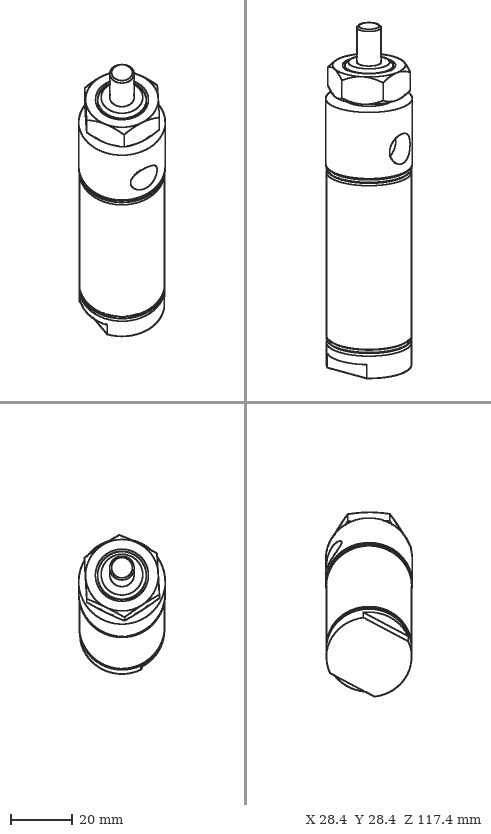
import cadquery as cq
import math

TOTAL_HEIGHT = 117.4

HEAD_RADIUS = 14.2
HEAD_BOTTOM = 69.2
HEAD_TOP = 92.2
TUBE_RADIUS = 14.0
TUBE_BOTTOM = 10.1
TUBE_TOP = 66.8
CAP_HEIGHT = 7.7

GROOVE_RADIUS = 13.3
RIDGE_RADIUS = TUBE_RADIUS
UPPER_RIDGE_HEIGHT = 68.0
LOWER_RIDGE_HEIGHT = 9.0
RIDGE_HALF_WIDTH = 0.6

BOSS_RADIUS = 8.0
BOSS_TOP = 104.8
BOSS_CHAMFER = 1.2

FLAT_SPACING = 22.3
FLAT_HEIGHT = 4.8

PORT_RADIUS = 5.2
PORT_HEIGHT = 77.9
PORT_DEPTH = 7.0

NUT_ACROSS_FLATS = 23.8
NUT_BOTTOM = 94.2
NUT_TOP = 103.7
NUT_CHAMFER_DROP = 1.6
NUT_COUNTERSINK = 0.7

ROD_RADIUS = 4.0
ROD_CHAMFER = 0.6
ROD_BOTTOM = HEAD_BOTTOM


def joint_ridge(height):
    """Profile points of two V-groove roots and the sharp ridge between them, from bottom to top."""
    return [
        (GROOVE_RADIUS, height - RIDGE_HALF_WIDTH),
        (RIDGE_RADIUS, height),
        (GROOVE_RADIUS, height + RIDGE_HALF_WIDTH),
    ]


def revolve_profile(points):
    """Revolve a closed (radius, height) outline about the Z axis."""
    return cq.Workplane("XZ").polyline(points).close().revolve(360, (0, 0, 0), (0, 1, 0))


def make_wrench_flats():
    """Material removed from the end cap to leave two flats facing -Y and +Y."""
    stock = 2 * HEAD_RADIUS
    blank = cq.Workplane("XY").box(stock, stock, FLAT_HEIGHT, centered=(True, True, False))
    web = cq.Workplane("XY").box(stock, FLAT_SPACING, FLAT_HEIGHT, centered=(True, True, False))
    return blank.cut(web)


def make_port():
    """Blind radial hole entering the head from +X."""
    return (
        cq.Workplane("YZ", origin=(HEAD_RADIUS - PORT_DEPTH, 0, PORT_HEIGHT))
        .circle(PORT_RADIUS)
        .extrude(PORT_DEPTH)
    )


def make_barrel():
    outline = [
        (0, 0),
        (TUBE_RADIUS, 0),
        (TUBE_RADIUS, CAP_HEIGHT),
        *joint_ridge(LOWER_RIDGE_HEIGHT),
        (TUBE_RADIUS, TUBE_BOTTOM),
        (TUBE_RADIUS, TUBE_TOP),
        *joint_ridge(UPPER_RIDGE_HEIGHT),
        (TUBE_RADIUS, HEAD_BOTTOM),
        (HEAD_RADIUS, HEAD_BOTTOM),
        (HEAD_RADIUS, HEAD_TOP),
        (BOSS_RADIUS, HEAD_TOP),
        (BOSS_RADIUS, BOSS_TOP - BOSS_CHAMFER),
        (BOSS_RADIUS - BOSS_CHAMFER, BOSS_TOP),
        (0, BOSS_TOP),
    ]
    rod_hole = (
        cq.Workplane("XY", origin=(0, 0, ROD_BOTTOM)).circle(ROD_RADIUS).extrude(BOSS_TOP - ROD_BOTTOM)
    )
    return revolve_profile(outline).cut(make_wrench_flats()).cut(make_port()).cut(rod_hole)


def make_nut():
    """Hexagon with corners on the Y axis, rounded off by cones at both faces."""
    corner_radius = NUT_ACROSS_FLATS / 2 / math.cos(math.pi / 6)
    face_radius = NUT_ACROSS_FLATS / 2
    hexagon = (
        cq.Workplane("XY", origin=(0, 0, NUT_BOTTOM))
        .polygon(6, 2 * corner_radius)
        .extrude(NUT_TOP - NUT_BOTTOM)
        .rotate((0, 0, 0), (0, 0, 1), 90)
    )
    turned_blank = revolve_profile([
        (BOSS_RADIUS + NUT_COUNTERSINK, NUT_BOTTOM),
        (face_radius, NUT_BOTTOM),
        (corner_radius, NUT_BOTTOM + NUT_CHAMFER_DROP),
        (corner_radius, NUT_TOP - NUT_CHAMFER_DROP),
        (face_radius, NUT_TOP),
        (BOSS_RADIUS + NUT_COUNTERSINK, NUT_TOP),
        (BOSS_RADIUS, NUT_TOP - NUT_COUNTERSINK),
        (BOSS_RADIUS, NUT_BOTTOM + NUT_COUNTERSINK),
    ])
    return hexagon.intersect(turned_blank)


def make_rod():
    return (
        cq.Workplane("XY", origin=(0, 0, ROD_BOTTOM))
        .circle(ROD_RADIUS)
        .extrude(TOTAL_HEIGHT - ROD_BOTTOM)
        .faces(">Z")
        .chamfer(ROD_CHAMFER)
    )


barrel = make_barrel()
nut = make_nut()
rod = make_rod()

result = cq.Compound.makeCompound([barrel.val(), nut.val(), rod.val()])